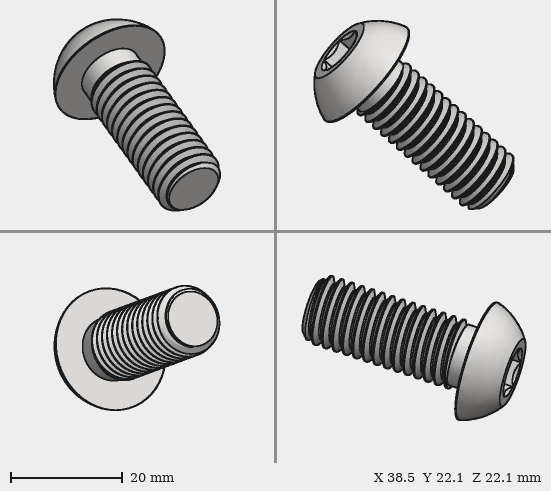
import cadquery as cq
import math

length = 38.48

head_height = 6.75
head_diameter = 22.13
head_radius = head_diameter / 2
head_flat_radius = 6.35
dome_radius = 12.3
rim_width = 0.25

socket_width = 7.93
socket_depth = 4.45
socket_floor_slope = math.radians(15)
socket_corner_radius = socket_width / math.sqrt(3)

shank_radius = 5.75
shank_end = 10.3

major_radius = 6.35
pitch = 2 * (2 * major_radius) / 13
flank_angle = math.radians(30)
crest_width = pitch / 8
thread_depth = 1.2
root_radius = major_radius - thread_depth
end_chamfer = 1.4
crest_x = 8.65
start_angle = -120
ridge_turns = 17
ridge_overlap = 0.05
trim_clearance = 0.4


def revolve_about_x(outline):
    """Turn a closed (X, radius) outline round the X axis."""
    return outline.close().revolve(360, (0, 0, 0), (1, 0, 0))


def make_head_and_shank():
    dome_end = head_height - rim_width
    outline = (
        cq.Workplane("XY")
        .lineTo(0, head_flat_radius)
        .radiusArc((dome_end, head_radius), dome_radius)
        .lineTo(head_height, head_radius)
        .lineTo(head_height, shank_radius)
        .lineTo(shank_end, shank_radius)
        .lineTo(shank_end, 0)
    )
    return revolve_about_x(outline)


def make_core():
    """Plain screw body at the root of the thread."""
    under_head = cq.Workplane("YZ").workplane(offset=head_height)
    return under_head.circle(root_radius).extrude(length - head_height)


def make_ridge():
    """Sweep the thread ridge along a right-handed helix, then lay its axis along X."""
    base_radius = root_radius - ridge_overlap
    crest_half_width = crest_width / 2
    base_half_width = crest_half_width + (major_radius - base_radius) * math.tan(flank_angle)

    helix = cq.Workplane(cq.Wire.makeHelix(pitch, pitch * ridge_turns, root_radius))
    ridge = (
        cq.Workplane("XZ")
        .polyline([
            (base_radius, -base_half_width),
            (major_radius, -crest_half_width),
            (major_radius, crest_half_width),
            (base_radius, base_half_width),
        ])
        .close()
        .sweep(helix, isFrenet=True)
    )
    ridge = ridge.rotate((0, 0, 0), (1, 1, 1), 120)
    start_x = crest_x + pitch * start_angle / 360
    return ridge.rotate((0, 0, 0), (1, 0, 0), start_angle).translate((start_x, 0, 0))


def make_thread_limits():
    """Round bar that cuts the thread square at the shank and at the end."""
    bar = cq.Workplane("YZ").workplane(offset=shank_end)
    return bar.circle(major_radius + trim_clearance).extrude(length - shank_end)


def make_end_trim():
    """Ring outside the 45 degree cone at the end of the screw."""
    outer_radius = major_radius + trim_clearance
    outline = (
        cq.Workplane("XY")
        .moveTo(length - end_chamfer - trim_clearance, outer_radius)
        .lineTo(length + trim_clearance, outer_radius)
        .lineTo(length + trim_clearance, major_radius - end_chamfer - trim_clearance)
    )
    return revolve_about_x(outline)


def make_socket():
    """Hexagon with corners up and down, a 45 degree lead-in and a conical floor."""
    hexagon = (
        cq.Workplane("YZ")
        .polygon(6, 2 * socket_corner_radius)
        .extrude(head_height)
        .rotate((0, 0, 0), (1, 0, 0), 90)
    )
    floor_tip = socket_depth + socket_corner_radius * math.tan(socket_floor_slope)
    bore = revolve_about_x(
        cq.Workplane("XY")
        .lineTo(0, socket_corner_radius)
        .lineTo(socket_depth, socket_corner_radius)
        .lineTo(floor_tip, 0)
    )
    lead_in = revolve_about_x(
        cq.Workplane("XY")
        .lineTo(0, socket_corner_radius)
        .lineTo(socket_corner_radius, 0)
    )
    return hexagon.intersect(bore).union(lead_in)


thread = make_ridge().intersect(make_thread_limits())
screw = make_head_and_shank().union(make_core()).union(thread)
result = screw.cut(make_end_trim()).cut(make_socket()).solids()